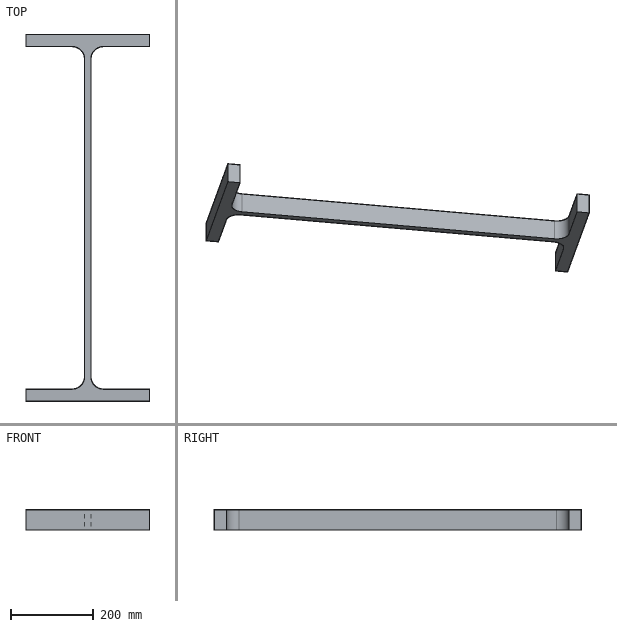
import cadquery as cq

flange_width = 300.0
section_depth = 890.0
slice_length = 50.0
flange_thickness = 30.0
web_thickness = 16.0
root_radius = 30.0

web_depth = section_depth - 2 * flange_thickness
flange_offset = (section_depth - flange_thickness) / 2


def make_flange(side):
    """Flange plate at the +Y (side = 1) or -Y (side = -1) end of the web."""
    return (
        cq.Workplane("XY")
        .center(0, side * flange_offset)
        .rect(flange_width, flange_thickness)
        .extrude(slice_length)
    )


def make_beam():
    """Web joined to both flanges, with the four root corners rounded."""
    beam = cq.Workplane("XY").rect(web_thickness, web_depth).extrude(slice_length)
    for side in (1, -1):
        beam = beam.union(make_flange(side))
    root_corners = cq.selectors.BoxSelector(
        (-web_thickness, -section_depth / 2, 0),
        (web_thickness, section_depth / 2, slice_length),
    )
    return beam.edges("|Z").edges(root_corners).fillet(root_radius)


result = make_beam()